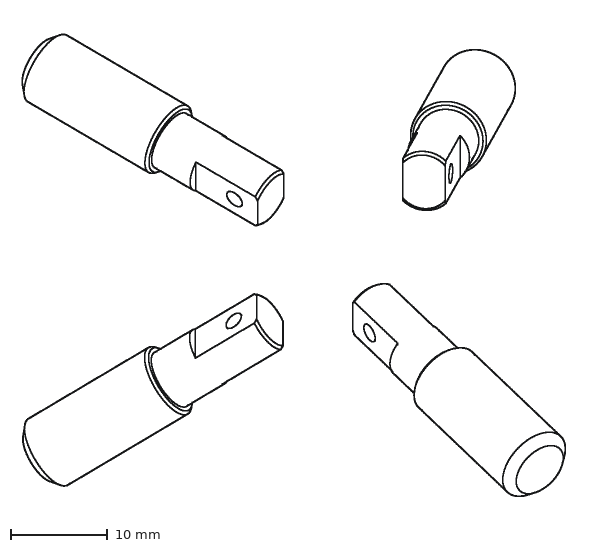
import cadquery as cq

total_length = 30.0
body_diameter = 8.0
body_length = 17.0
shank_diameter = 6.5
lead_chamfer = 1.0
shoulder_chamfer = 0.3
tip_chamfer = 0.3
tang_length = 8.0
tang_thickness = 4.5
hole_diameter = 2.0
hole_to_tip = 3.0

tang_start = total_length - tang_length


def cylinder_along_x(start, length, diameter):
    return cq.Workplane("YZ", origin=(start, 0, 0)).circle(diameter / 2).extrude(length)


def make_body():
    body = cylinder_along_x(0, body_length, body_diameter)
    body = body.faces("<X").chamfer(lead_chamfer)
    return body.faces(">X").chamfer(shoulder_chamfer)


def make_shank():
    shank_length = total_length - body_length
    shank = cylinder_along_x(body_length, shank_length, shank_diameter)
    return shank.faces(">X").chamfer(tip_chamfer)


def make_flat_cutter(side):
    """Block that removes everything outside one flat; side is +1 or -1 along Y."""
    depth = (body_diameter - tang_thickness) / 2
    center_y = side * (tang_thickness + depth) / 2
    return cq.Workplane("XY").box(tang_length, depth, body_diameter).translate(
        (tang_start + tang_length / 2, center_y, 0)
    )


def make_cross_hole():
    return (
        cq.Workplane("XZ", origin=(total_length - hole_to_tip, 0, 0))
        .circle(hole_diameter / 2)
        .extrude(body_diameter / 2, both=True)
    )


result = make_body().union(make_shank())
for side in (-1, 1):
    result = result.cut(make_flat_cutter(side))
result = result.cut(make_cross_hole())